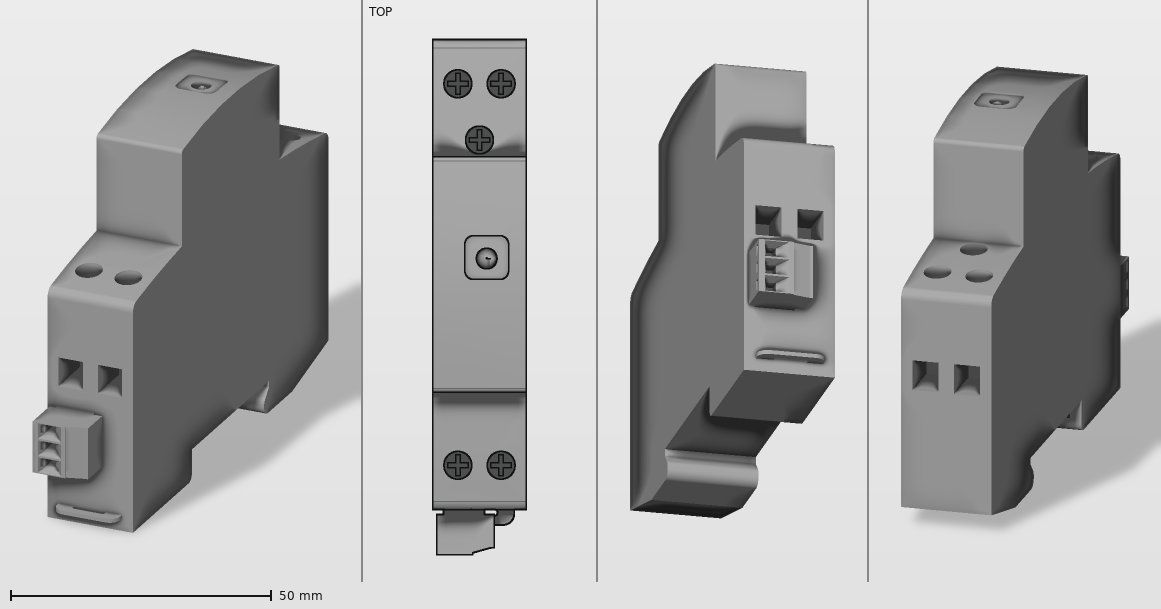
import cadquery as cq
import math

WIDTH = 18.0
OVERALL_DEPTH = 98.9
CASE_DEPTH = 90.2
HEIGHT = 73.5
BACK = CASE_DEPTH / 2
FRONT = -CASE_DEPTH / 2

HUMP_HALF = CASE_DEPTH / 4
HUMP_EDGE_Z = 71.0
HUMP_FILLET = 0.9
SHOULDER_IN_Z = 51.0
SHOULDER_OUT_Z = 47.8
SHOULDER_FILLET = 2.0

BACK_FOOT_Z = 4.0
BACK_FOOT_Y = 28.3
RAIL_TOP_Z = 6.5
RAIL_BACK_Y = 17.6
RAIL_FRONT_Y = -17.9
HOOK_Z = 5.1
HOOK_TIP_Y = 15.4
HOOK_FILLET = 1.8
FOOT_FILLET = 1.5

TERMINAL_X = 4.2
SCREW_Y = 36.6
EARTH_SCREW_Y = 25.8
SCREW_DIAMETER = 5.3
SCREW_HEAD_Z = 41.5
CROSS_LENGTH = 4.0
CROSS_WIDTH = 0.9
CROSS_DEPTH = 1.2
ENTRY_WIDTH = 5.1
ENTRY_BOTTOM_Z = 27.9
ENTRY_HEIGHT = 6.0
ENTRY_DEPTH = 9.9

LAMP_X = 1.4
LAMP_Y = 3.1
WINDOW_Y = 3.3
WINDOW_SIZE = 8.4
WINDOW_CORNER = 1.7
WINDOW_DEPTH = 0.4
WINDOW_BLOCK = 4.0
LAMP_DIAMETER = 4.0

PLUG_LENGTH = OVERALL_DEPTH - CASE_DEPTH
PLUG_LEFT = -8.2
PLUG_RIGHT = 2.9
PLUG_BOTTOM_Z = 13.1
PLUG_HEIGHT = 10.7
NECK_LEFT = -6.9
NECK_RIGHT = 1.0
NECK_LENGTH = 0.9
NECK_GROOVE = 0.8
PLUG_FACE_RIGHT = -1.3
PLUG_STEP = 0.4
PLUG_SIDE_LENGTH = 7.3
PLUG_RIM = 0.6
WIRE_COUNT = 3
WIRE_PITCH = PLUG_HEIGHT / WIRE_COUNT
FUNNEL_LEFT = -7.0
FUNNEL_WIDTH = 4.8
FUNNEL_HEIGHT = 3.2
FUNNEL_DEPTH = 2.2
WIRE_LEFT = -6.3
WIRE_WIDTH = 2.1
WIRE_HEIGHT = 1.9
WIRE_DEPTH = 4.9
SIDE_WINDOW_WIDTH = 1.3
SIDE_WINDOW_HEIGHT = 2.0
SIDE_WINDOW_SETBACK = 0.6

CLIP_WIDTH = 13.4
TAB_LENGTH = 3.0
TAB_BOTTOM_Z = 2.6
TAB_THICKNESS = 0.8
TAB_FILLET = 2.2
TAB_SLOT_LENGTH = 6.9
TAB_SLOT_WIDTH = 1.2
CATCH_TIP = (-14.9, 5.0)
CATCH_TOP_Z = 5.6
CATCH_BOTTOM_Z = 2.7


def box(x0, x1, y0, y1, z0, z1):
    """Box between two opposite corners."""
    return cq.Workplane("XY").box(x1 - x0, y1 - y0, z1 - z0, centered=False).translate((x0, y0, z0))


def crown_radius():
    """Radius of the crown arc through its apex and both hump corners."""
    rise = HEIGHT - HUMP_EDGE_Z
    return (HUMP_HALF**2 + rise**2) / (2 * rise)


def shoulder_middle(side):
    """Middle point of a shoulder; both shoulders lie on one arc centred on Y = 0."""
    drop = SHOULDER_IN_Z - SHOULDER_OUT_Z
    center_z = (SHOULDER_IN_Z + SHOULDER_OUT_Z) / 2 - (BACK**2 - HUMP_HALF**2) / (2 * drop)
    radius = math.hypot(BACK, SHOULDER_OUT_Z - center_z)
    y = (BACK + HUMP_HALF) / 2
    return side * y, center_z + math.sqrt(radius**2 - y**2)


def housing():
    hook_tip_z = HOOK_Z - (RAIL_BACK_Y - HOOK_TIP_Y)
    profile = (
        cq.Workplane("YZ")
        .moveTo(FRONT, 0)
        .lineTo(FRONT, SHOULDER_OUT_Z)
        .threePointArc(shoulder_middle(-1), (-HUMP_HALF, SHOULDER_IN_Z))
        .lineTo(-HUMP_HALF, HUMP_EDGE_Z)
        .threePointArc((0, HEIGHT), (HUMP_HALF, HUMP_EDGE_Z))
        .lineTo(HUMP_HALF, SHOULDER_IN_Z)
        .threePointArc(shoulder_middle(1), (BACK, SHOULDER_OUT_Z))
        .lineTo(BACK, BACK_FOOT_Z)
        .lineTo(BACK_FOOT_Y, 0)
        .lineTo(HOOK_TIP_Y, 0)
        .lineTo(HOOK_TIP_Y, hook_tip_z)
        .lineTo(RAIL_BACK_Y, HOOK_Z)
        .lineTo(RAIL_BACK_Y, RAIL_TOP_Z)
        .lineTo(RAIL_FRONT_Y, RAIL_TOP_Z)
        .lineTo(RAIL_FRONT_Y, 0)
        .close()
    )
    body = profile.extrude(WIDTH / 2, both=True)

    def edges_at(y, z):
        return cq.selectors.BoxSelector((-WIDTH, y - 0.1, z - 0.1), (WIDTH, y + 0.1, z + 0.1))

    for side in (-1, 1):
        body = body.edges(edges_at(side * HUMP_HALF, HUMP_EDGE_Z)).fillet(HUMP_FILLET)
        body = body.edges(edges_at(side * BACK, SHOULDER_OUT_Z)).fillet(SHOULDER_FILLET)
    for z in (0, hook_tip_z):
        body = body.edges(edges_at(HOOK_TIP_Y, z)).fillet(HOOK_FILLET)
    return body.edges(edges_at(RAIL_FRONT_Y, 0)).fillet(FOOT_FILLET)


def screw_hole(x, y):
    """Screw shaft ending on a screw head with a cross recess."""
    head = cq.Workplane("XY", origin=(x, y, SCREW_HEAD_Z))
    shaft = head.circle(SCREW_DIAMETER / 2).extrude(SHOULDER_IN_Z - SCREW_HEAD_Z)
    cross = head.rect(CROSS_LENGTH, CROSS_WIDTH).extrude(-CROSS_DEPTH)
    cross = cross.union(head.rect(CROSS_WIDTH, CROSS_LENGTH).extrude(-CROSS_DEPTH))
    return shaft.union(cross)


def wire_entry(x, side):
    """Rectangular wire entry in the front (side -1) or back (side 1) wall."""
    ends = sorted((side * BACK, side * (BACK - ENTRY_DEPTH)))
    half = ENTRY_WIDTH / 2
    return box(x - half, x + half, *ends, ENTRY_BOTTOM_Z, ENTRY_BOTTOM_Z + ENTRY_HEIGHT)


def cut_indicator(body):
    """Window sunk parallel to the crown, with a domed lamp in a round well."""
    floor_radius = crown_radius() - WINDOW_DEPTH
    axis_z = HEIGHT - crown_radius()
    under_floor = cq.Workplane("YZ").center(0, axis_z).circle(floor_radius).extrude(WIDTH, both=True)
    window = (
        cq.Workplane("XY", origin=(LAMP_X, WINDOW_Y, HEIGHT - WINDOW_BLOCK / 2))
        .rect(WINDOW_SIZE, WINDOW_SIZE)
        .extrude(WINDOW_BLOCK)
        .edges("|Z")
        .fillet(WINDOW_CORNER)
        .cut(under_floor)
    )
    lamp_radius = LAMP_DIAMETER / 2
    floor_z = axis_z + math.sqrt(floor_radius**2 - LAMP_Y**2)
    lamp_z = floor_z - lamp_radius
    well = cq.Workplane("XY", origin=(LAMP_X, LAMP_Y, lamp_z)).circle(lamp_radius).extrude(2 * lamp_radius)
    dome = cq.Workplane("XY").sphere(lamp_radius).translate((LAMP_X, LAMP_Y, lamp_z))
    return body.cut(window).cut(well.cut(dome))


def plug():
    plug_end = FRONT - PLUG_LENGTH
    neck_end = FRONT - NECK_LENGTH
    side_end = FRONT - PLUG_SIDE_LENGTH
    outline = [
        (NECK_LEFT, FRONT),
        (NECK_LEFT, neck_end),
        (PLUG_LEFT, neck_end),
        (PLUG_LEFT, plug_end),
        (PLUG_FACE_RIGHT, plug_end),
        (PLUG_FACE_RIGHT, plug_end + PLUG_STEP),
        (PLUG_RIGHT - PLUG_RIM, side_end),
        (PLUG_RIGHT, side_end),
        (PLUG_RIGHT, neck_end),
        (NECK_RIGHT, neck_end),
        (NECK_RIGHT, FRONT),
    ]
    block = cq.Workplane("XY", origin=(0, 0, PLUG_BOTTOM_Z)).polyline(outline).close().extrude(PLUG_HEIGHT)

    for i in range(1, WIRE_COUNT):
        z = PLUG_BOTTOM_Z + i * WIRE_PITCH
        half = NECK_GROOVE / 2
        block = block.cut(box(NECK_LEFT, NECK_LEFT + NECK_GROOVE, neck_end, FRONT, z - half, z + half))

    for i in range(WIRE_COUNT):
        z = PLUG_BOTTOM_Z + (i + 0.5) * WIRE_PITCH
        funnel_x = FUNNEL_LEFT + FUNNEL_WIDTH / 2
        wire_x = WIRE_LEFT + WIRE_WIDTH / 2
        funnel = (
            cq.Workplane("XZ", origin=(0, plug_end, z))
            .center(funnel_x, 0)
            .rect(FUNNEL_WIDTH, FUNNEL_HEIGHT)
            .workplane(offset=-FUNNEL_DEPTH)
            .center(wire_x - funnel_x, 0)
            .rect(WIRE_WIDTH, WIRE_HEIGHT)
            .loft(ruled=True)
        )
        half_wire = WIRE_HEIGHT / 2
        wire = box(
            WIRE_LEFT, WIRE_LEFT + WIRE_WIDTH,
            plug_end + FUNNEL_DEPTH, plug_end + WIRE_DEPTH,
            z - half_wire, z + half_wire,
        )
        window_y = plug_end + SIDE_WINDOW_SETBACK
        half_window = SIDE_WINDOW_HEIGHT / 2
        window = box(
            PLUG_LEFT, wire_x,
            window_y, window_y + SIDE_WINDOW_WIDTH,
            z - half_window, z + half_window,
        )
        block = block.cut(funnel).cut(wire).cut(window)
    return block


def pull_tab():
    half = CLIP_WIDTH / 2
    tab = box(-half, half, FRONT - TAB_LENGTH, FRONT, TAB_BOTTOM_Z, TAB_BOTTOM_Z + TAB_THICKNESS)
    tab = tab.edges("|Z and <Y").fillet(TAB_FILLET)
    slot = (
        cq.Workplane("XY", origin=(0, FRONT - TAB_SLOT_WIDTH / 2, TAB_BOTTOM_Z))
        .slot2D(TAB_SLOT_LENGTH, TAB_SLOT_WIDTH)
        .extrude(TAB_THICKNESS)
    )
    return tab.cut(slot)


def catch():
    return (
        cq.Workplane("YZ")
        .polyline([(RAIL_FRONT_Y, CATCH_BOTTOM_Z), CATCH_TIP, (RAIL_FRONT_Y, CATCH_TOP_Z)])
        .close()
        .extrude(CLIP_WIDTH / 2, both=True)
    )


result = cut_indicator(housing())
for side in (-1, 1):
    for x in (-TERMINAL_X, TERMINAL_X):
        result = result.cut(screw_hole(x, side * SCREW_Y)).cut(wire_entry(x, side))
result = result.cut(screw_hole(0, EARTH_SCREW_Y))
result = result.union(plug()).union(pull_tab()).union(catch())